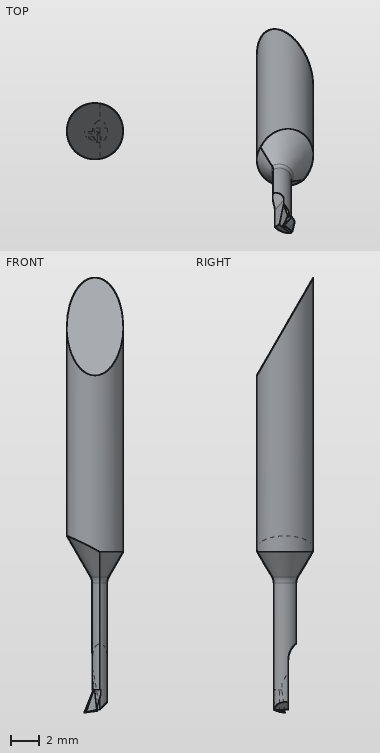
import cadquery as cq
import math


total_length = 30.7
shank_radius = 2.0
bevel_angle = math.radians(30)

neck_radius = 0.875
profile_offset = 0.66
cone_half_angle = math.radians(30)
blend_start_z = 9.18
blend_radius = 0.85

flat_y = 0.25
flat_top_z = 3.75
flat_runout_radius = 1.47
flat_runout_angle = math.radians(60)
neck_end_z = 0.2
end_chamfer = 0.55

seat_outer = 3.07
tip_top_z = 1.63
wall_upper_x = 0.4
wall_lower_x = 0.15
wall_bend_top_z = 1.25
wall_bend_bottom_z = 0.43
rake_top_y = -0.25
pocket_valley = (-0.25, 2.1)
pocket_top = (0.3, 3.07)
pocket_upper_x = -0.15
pocket_lower_x = 0.37
edge_x = -0.77
clearance_y = -0.4
tip_back_y = -0.8


def make_neck_profile(axis_x):
    """Round neck that blends into a cone and widens past the shank."""
    blend_x = axis_x + neck_radius + blend_radius * (1 - math.cos(cone_half_angle))
    blend_end_z = blend_start_z + blend_radius * math.sin(cone_half_angle)
    blend_mid = (
        axis_x + neck_radius + blend_radius * (1 - math.cos(cone_half_angle / 2)),
        blend_start_z + blend_radius * math.sin(cone_half_angle / 2),
    )
    cone_radius = 2 * shank_radius
    cone_top_x = axis_x + cone_radius
    cone_top_z = blend_end_z + (cone_top_x - blend_x) / math.tan(cone_half_angle)
    return (
        cq.Workplane("XZ")
        .moveTo(axis_x, neck_end_z)
        .lineTo(axis_x + neck_radius, neck_end_z)
        .lineTo(axis_x + neck_radius, blend_start_z)
        .threePointArc(blend_mid, (blend_x, blend_end_z))
        .lineTo(cone_top_x, cone_top_z)
        .lineTo(cone_top_x, total_length)
        .lineTo(axis_x, total_length)
        .close()
        .revolve(360, (axis_x, 0), (axis_x, 1))
    )


def make_bevel_cutter():
    """Wedge that leaves the shank highest on its +Y side."""
    bevel_drop = 2 * shank_radius / math.tan(bevel_angle)
    return (
        cq.Workplane("YZ")
        .polyline([
            (shank_radius, total_length),
            (-shank_radius, total_length - bevel_drop),
            (-shank_radius, total_length),
        ])
        .close()
        .extrude(shank_radius, both=True)
    )


def make_flat_cutter():
    """Flat on the +Y side of the neck, with a round run-out at its top."""
    runout_mid = (
        flat_y + flat_runout_radius * (1 - math.cos(flat_runout_angle / 2)),
        flat_top_z + flat_runout_radius * math.sin(flat_runout_angle / 2),
    )
    runout_end = (
        flat_y + flat_runout_radius * (1 - math.cos(flat_runout_angle)),
        flat_top_z + flat_runout_radius * math.sin(flat_runout_angle),
    )
    return (
        cq.Workplane("YZ")
        .moveTo(flat_y, 0)
        .lineTo(flat_y, flat_top_z)
        .threePointArc(runout_mid, runout_end)
        .lineTo(seat_outer, runout_end[1])
        .lineTo(seat_outer, 0)
        .close()
        .extrude(seat_outer, both=True)
    )


def make_chamfer_cutter():
    """45 degree chamfer on the +X side of the neck end."""
    return (
        cq.Workplane("XZ")
        .polyline([
            (neck_radius - end_chamfer, neck_end_z),
            (neck_radius, neck_end_z + end_chamfer),
            (neck_radius, neck_end_z),
        ])
        .close()
        .extrude(seat_outer, both=True)
    )


def make_wall_side():
    """Space on the -X side of the wall that the tip stands against."""
    return (
        cq.Workplane("XZ")
        .polyline([
            (-seat_outer, 0),
            (wall_lower_x, 0),
            (wall_lower_x, wall_bend_bottom_z),
            (wall_upper_x, wall_bend_top_z),
            (wall_upper_x, seat_outer),
            (-seat_outer, seat_outer),
        ])
        .close()
        .extrude(seat_outer, both=True)
    )


def make_seat():
    """Seat for the tip at the neck end, behind the rake face."""
    seat_side = (
        cq.Workplane("YZ")
        .polyline([(0, 0), (rake_top_y, tip_top_z), (-seat_outer, tip_top_z), (-seat_outer, 0)])
        .close()
        .extrude(seat_outer, both=True)
    )
    return make_wall_side().intersect(seat_side)


def make_chip_pocket():
    """Chip space in front of the rake face, with a wall that leans under the neck."""
    pocket_side = (
        cq.Workplane("YZ")
        .polyline([(0, 0), (rake_top_y, tip_top_z), pocket_valley, pocket_top, (pocket_top[0], 0)])
        .close()
        .extrude(seat_outer, both=True)
    )
    pocket_wall = (
        cq.Workplane("XZ")
        .polyline([
            (-seat_outer, 0),
            (pocket_lower_x, 0),
            (pocket_upper_x, pocket_top[1]),
            (-seat_outer, pocket_top[1]),
        ])
        .close()
        .extrude(seat_outer, both=True)
    )
    return pocket_side.intersect(pocket_wall)


def make_body():
    shank = cq.Workplane("XY").circle(shank_radius).extrude(total_length)
    return (
        shank
        .intersect(make_neck_profile(0))
        .intersect(make_neck_profile(profile_offset))
        .cut(make_bevel_cutter())
        .cut(make_flat_cutter())
        .cut(make_chamfer_cutter())
        .cut(make_seat())
        .cut(make_chip_pocket())
    )


def make_tip_block(front_y, front_outline, back_y, back_outline):
    """Straight-sided block between two XZ outlines."""
    front = cq.Wire.makePolygon([cq.Vector(x, front_y, z) for x, z in front_outline], close=True)
    back = cq.Wire.makePolygon([cq.Vector(x, back_y, z) for x, z in back_outline], close=True)
    return cq.Workplane(cq.Solid.makeLoft([front, back], True))


def make_tip():
    edge_outline = [(edge_x, 0), (-0.15, tip_top_z), (wall_upper_x, tip_top_z), (wall_upper_x, 0.15)]
    middle_outline = [(-0.6, 0.05), (-0.1, tip_top_z), (wall_upper_x, tip_top_z), (wall_upper_x, 0.2)]
    back_outline = [(0.12, 0.2), (-0.03, tip_top_z), (wall_upper_x, tip_top_z), (wall_upper_x, 0.28)]
    primary = make_tip_block(0, edge_outline, clearance_y, middle_outline)
    secondary = make_tip_block(clearance_y, middle_outline, tip_back_y, back_outline)
    rake_cutter = (
        cq.Workplane("YZ")
        .polyline([(0, 0), (rake_top_y, tip_top_z), (0, tip_top_z)])
        .close()
        .extrude(seat_outer, both=True)
    )
    return primary.union(secondary).cut(rake_cutter).intersect(make_wall_side())


body = make_body()
tip = make_tip()
result = cq.Compound.makeCompound([*body.solids().vals(), *tip.solids().vals()])